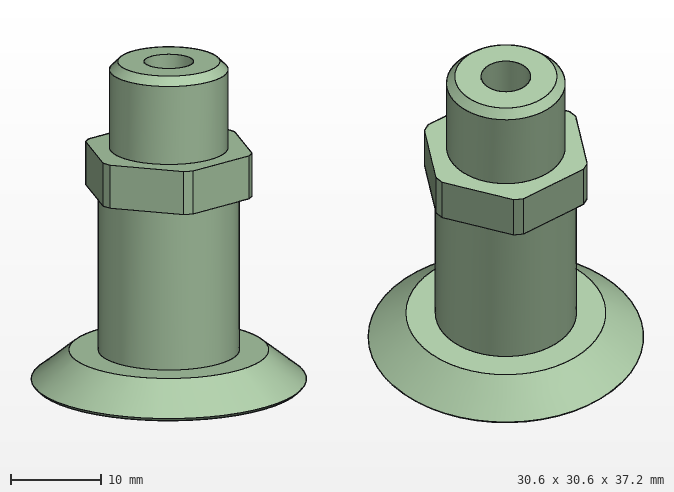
import cadquery as cq

total_height = 37.2

cup_diameter = 30.6
cup_base_diameter = 29.9
cup_top_diameter = 22.2
lip_height = 0.37
cup_height = 3.75

stem_diameter = 15.7

hex_across_flats = 17.0
hex_turned_diameter = 19.0
corner_rotation = 30
hex_bottom = 22.25
hex_height = 5.0
hex_top = hex_bottom + hex_height

spigot_diameter = 13.2
spigot_chamfer = 0.93

bore_diameter = 5.5


def cylinder(diameter, bottom, top):
    return cq.Workplane("XY").workplane(offset=bottom).circle(diameter / 2).extrude(top - bottom)


def make_cup():
    """Flared cup with a thin lip that tapers inwards to the base."""
    profile = [
        (0, 0),
        (cup_base_diameter / 2, 0),
        (cup_diameter / 2, lip_height),
        (cup_top_diameter / 2, cup_height),
        (0, cup_height),
    ]
    return cq.Workplane("XZ").polyline(profile).close().revolve(360, (0, 0), (0, 1))


def make_hexagon():
    """Hexagon with turned corners; corners on the X axis, flats facing +Y and -Y."""
    blank = (
        cq.Workplane("XY")
        .workplane(offset=hex_bottom)
        .polygon(6, hex_across_flats, circumscribed=True)
        .extrude(hex_height)
        .rotate((0, 0, 0), (0, 0, 1), corner_rotation)
    )
    return blank.intersect(cylinder(hex_turned_diameter, hex_bottom, hex_top))


stem = cylinder(stem_diameter, cup_height, hex_bottom)
spigot = cylinder(spigot_diameter, hex_top, total_height).faces(">Z").chamfer(spigot_chamfer)
bore = cylinder(bore_diameter, 0, total_height)

result = make_cup().union(stem).union(make_hexagon()).union(spigot).cut(bore)